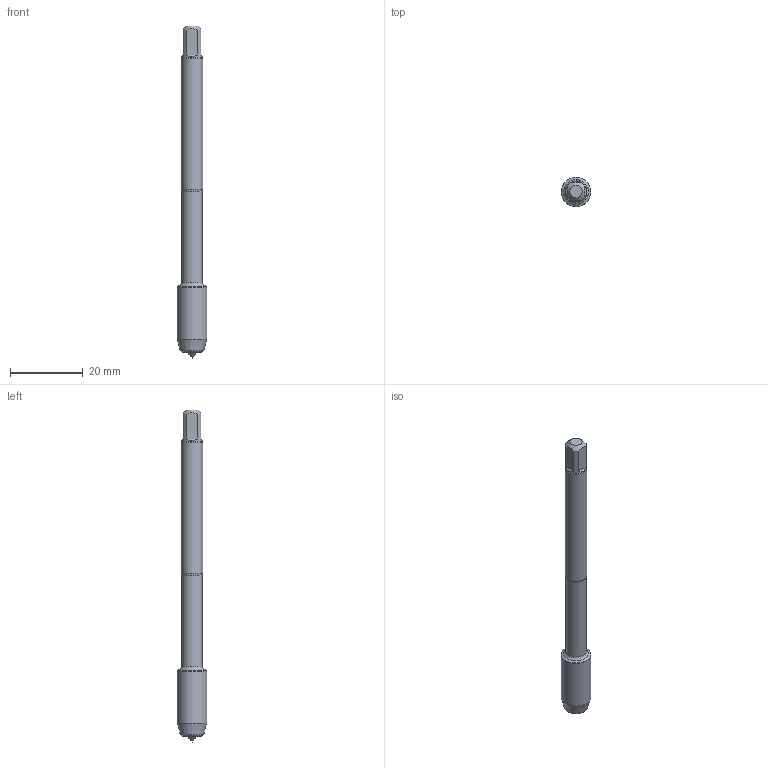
import cadquery as cq
import math

body_length = 90.0
point_length = 1.55
square_length = 8.0
shank_length = 45.0
thread_length = 18.0

thread_radius = 8.13 / 2
core_radius = 3.4
lead_end_radius = 3.24
neck_radius = 5.7 / 2
shank_radius = 6.0 / 2
tail_radius = 5.76 / 2

across_flats = 4.9
drive_chamfer = 1.18
tail_collar_length = 0.35

collar_length = 0.12
cone_angle = 30.0
neck_fillet = 0.9
neck_taper_angle = 15.0

lead_angle = 15.0
end_chamfer = 0.5


def taper_length(large_radius, small_radius, half_angle):
    """Axial length of a cone between two radii, with the half angle measured from the axis."""
    return (large_radius - small_radius) / math.tan(math.radians(half_angle))


def make_flat_cutter(flat_bottom):
    """Wedge that mills one flat of the square, with a 45 degree run-out at its lower end."""
    flat_distance = across_flats / 2
    reach = shank_radius
    outline = (
        cq.Workplane("XZ")
        .moveTo(flat_distance, flat_bottom)
        .lineTo(flat_distance + reach, flat_bottom - reach)
        .lineTo(flat_distance + reach, body_length)
        .lineTo(flat_distance, body_length)
        .close()
    )
    return outline.extrude(shank_radius, both=True)


def make_shank():
    """Shank with the drive square on top and the reduced neck flaring out to the thread below."""
    square_bottom = body_length - square_length
    runout_bottom = square_bottom - (tail_radius - across_flats / 2)
    tail_bottom = runout_bottom - tail_collar_length
    shoulder_bottom = tail_bottom - (shank_radius - tail_radius)

    neck_top = body_length - shank_length
    neck_taper = taper_length(shank_radius, neck_radius, neck_taper_angle)

    cone_bottom = thread_length + collar_length
    cone_top = cone_bottom + taper_length(thread_radius, core_radius, 90 - cone_angle)
    fillet_centre_offset = neck_radius + neck_fillet - core_radius
    fillet_top = cone_top + math.sqrt(neck_fillet**2 - fillet_centre_offset**2)

    profile = (
        cq.Workplane("XZ")
        .moveTo(0, thread_length)
        .lineTo(thread_radius, thread_length)
        .lineTo(thread_radius, cone_bottom)
        .lineTo(core_radius, cone_top)
        .radiusArc((neck_radius, fillet_top), neck_fillet)
        .lineTo(neck_radius, neck_top - neck_taper)
        .lineTo(shank_radius, neck_top)
        .lineTo(shank_radius, shoulder_bottom)
        .lineTo(tail_radius, tail_bottom)
        .lineTo(tail_radius, body_length - drive_chamfer)
        .lineTo(tail_radius - drive_chamfer, body_length)
        .lineTo(0, body_length)
        .close()
    )
    shank = profile.revolve(360, (0, 0, 0), (0, 1, 0))
    cutter = make_flat_cutter(square_bottom)
    for side in range(4):
        shank = shank.cut(cutter.rotate((0, 0, 0), (0, 0, 1), 90 * side))
    return shank


def make_thread():
    """Plain thread envelope with its tapered lead, end edge break and 90 degree centre point."""
    lead_top = end_chamfer + taper_length(thread_radius, lead_end_radius, lead_angle)
    profile = (
        cq.Workplane("XZ")
        .moveTo(0, -point_length)
        .lineTo(point_length, 0)
        .lineTo(lead_end_radius - end_chamfer, 0)
        .lineTo(lead_end_radius, end_chamfer)
        .lineTo(thread_radius, lead_top)
        .lineTo(thread_radius, thread_length)
        .lineTo(0, thread_length)
        .close()
    )
    return profile.revolve(360, (0, 0, 0), (0, 1, 0))


shank = make_shank()
thread = make_thread()

result = cq.Compound.makeCompound([shank.val(), thread.val()])